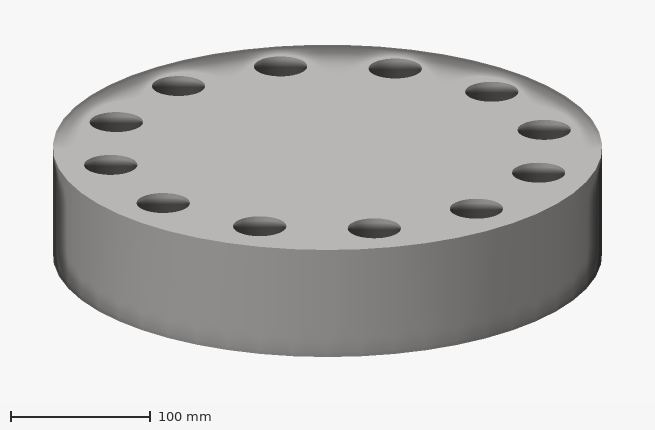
import cadquery as cq

flange_diameter = 393.5
overall_height = 92.0
face_height = 9.5
flange_thickness = overall_height - face_height

face_diameter = 248.0

bolt_count = 12
bolt_circle_diameter = 317.5
bolt_hole_diameter = 38.0


def make_blank():
    """Round flange standing on its raised face, with the face bottom at Z = 0."""
    raised_face = cq.Workplane("XY").circle(face_diameter / 2).extrude(face_height)
    flange = (
        cq.Workplane("XY")
        .workplane(offset=face_height)
        .circle(flange_diameter / 2)
        .extrude(flange_thickness)
    )
    return raised_face.union(flange)


def make_bolt_holes():
    """Ring of evenly spaced cylinders through the full height, the first one on +X."""
    return (
        cq.Workplane("XY")
        .polarArray(bolt_circle_diameter / 2, 0, 360, bolt_count)
        .circle(bolt_hole_diameter / 2)
        .extrude(overall_height)
    )


result = make_blank().cut(make_bolt_holes())